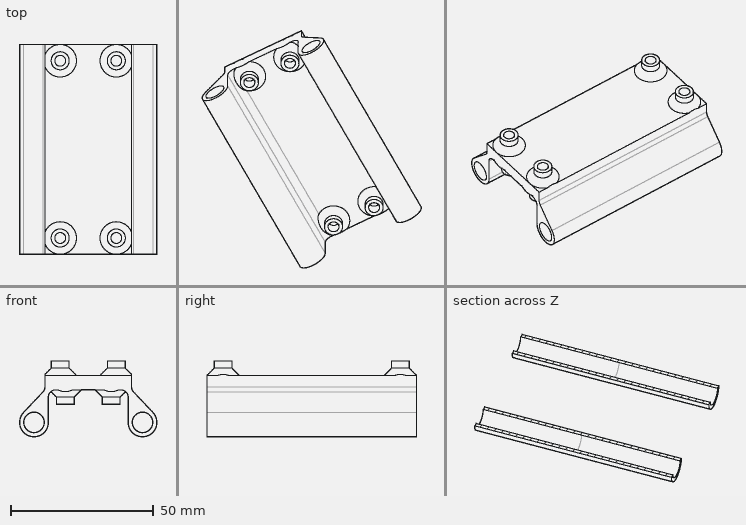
import cadquery as cq
import math

length = 73.66
tube_radius = 5.08
bore_diameter = 7.112
tube_spacing = 38.1
plate_width = 30.48
plate_thickness = 5.08
leg_drop = 11.43
inner_fillet_radius = 2.54
outer_fillet_radius = 2.54

boss_diameter = 6.35
boss_height = 5.08
cone_height = 2.54
boss_hole_diameter = 3.81
boss_hole_depth = 5.08
top_boss_spacing = 19.7
top_boss_end_distance = 5.715
bottom_boss_spacing = 16.1
bottom_boss_end_distance = 5.08

tube_x = tube_spacing / 2
tube_z = tube_radius
leg_inner_x = tube_x - tube_radius
half_width = plate_width / 2
plate_bottom = tube_z + leg_drop
plate_top = plate_bottom + plate_thickness
total_height = plate_top + boss_height
total_width = 2 * (tube_x + tube_radius)
blank_length = length + 2 * boss_diameter


def polar_point(angle):
    """Point on the right-hand tube's outer circle."""
    return (tube_x + tube_radius * math.cos(angle), tube_z + tube_radius * math.sin(angle))


def extrude_blank(sketch):
    """Extrude an XZ sketch over the untrimmed length, centred on Y."""
    return sketch.extrude(blank_length / 2, both=True)


def make_envelope(width, depth):
    """Block of the part's full height, centred on X and Y and standing on Z = 0."""
    return cq.Workplane("XY").box(width, depth, total_height, (True, True, False))


def make_plate():
    section = cq.Workplane("XZ").center(0, plate_bottom + plate_thickness / 2)
    return extrude_blank(section.rect(plate_width, plate_thickness))


def make_right_leg():
    """Tapered leg whose sloped face runs from the plate's lower corner tangent to the tube."""
    corner_dx = half_width - tube_x
    corner_distance = math.hypot(corner_dx, leg_drop)
    tangent_angle = math.atan2(leg_drop, corner_dx) - math.acos(tube_radius / corner_distance)
    section = (
        cq.Workplane("XZ")
        .moveTo(leg_inner_x, plate_bottom)
        .lineTo(leg_inner_x, tube_z)
        .threePointArc(polar_point(-math.pi / 2), polar_point(tangent_angle))
        .lineTo(half_width, plate_bottom)
        .close()
    )
    return extrude_blank(section)


def edges_along_length(x, z):
    """Selector for the pair of lengthwise edges at +-x and height z."""
    tolerance = 0.01
    right = cq.selectors.BoxSelector(
        (x - tolerance, -blank_length, z - tolerance), (x + tolerance, blank_length, z + tolerance)
    )
    left = cq.selectors.BoxSelector(
        (-x - tolerance, -blank_length, z - tolerance), (-x + tolerance, blank_length, z + tolerance)
    )
    return right + left


def make_bracket():
    leg = make_right_leg()
    bracket = make_plate().union(leg).union(leg.mirror("YZ"))
    bracket = bracket.edges(edges_along_length(leg_inner_x, plate_bottom)).fillet(inner_fillet_radius)
    bracket = bracket.edges(edges_along_length(half_width, plate_bottom)).fillet(outer_fillet_radius)
    bores = cq.Workplane("XZ").pushPoints([(-tube_x, tube_z), (tube_x, tube_z)])
    return bracket.cut(extrude_blank(bores.circle(bore_diameter / 2)))


def make_boss():
    """Boss with a conical skirt, standing on the XY plane along +Z."""
    boss_radius = boss_diameter / 2
    return (
        cq.Workplane("XZ")
        .lineTo(boss_radius + cone_height, 0)
        .lineTo(boss_radius, cone_height)
        .lineTo(boss_radius, boss_height)
        .lineTo(0, boss_height)
        .close()
        .revolve(360, (0, 0, 0), (0, 1, 0))
    )


def make_boss_hole():
    """Blind hole of a boss on the XY plane, entering from the boss's free end."""
    hole = cq.Workplane("XY").workplane(offset=boss_height - boss_hole_depth)
    return hole.circle(boss_hole_diameter / 2).extrude(boss_hole_depth)


def grid_points(spacing, end_distance):
    half_pitch = length / 2 - end_distance
    return [(sx * spacing / 2, sy * half_pitch) for sx in (-1, 1) for sy in (-1, 1)]


def add_bosses(body):
    """Four bosses on each plate face, trimmed to the plate's sides."""
    plate_sides = make_envelope(plate_width, blank_length)
    top_boss = make_boss()
    bottom_boss = top_boss.mirror("XY")
    top_hole = make_boss_hole()
    bottom_hole = top_hole.mirror("XY")
    sets = [
        (top_boss, top_hole, plate_top, top_boss_spacing, top_boss_end_distance),
        (bottom_boss, bottom_hole, plate_bottom, bottom_boss_spacing, bottom_boss_end_distance),
    ]
    for boss, hole, face_z, spacing, end_distance in sets:
        for x, y in grid_points(spacing, end_distance):
            body = body.union(boss.translate((x, y, face_z)).intersect(plate_sides))
            body = body.cut(hole.translate((x, y, face_z)))
    return body


result = add_bosses(make_bracket()).intersect(make_envelope(total_width, length))